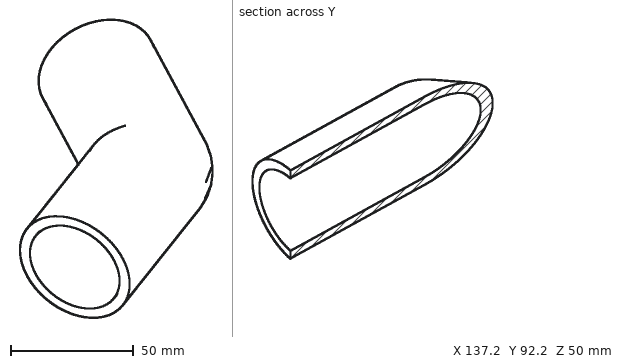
import cadquery as cq
import math

overall_length = 137.2
outer_diameter = 50.0
bore_diameter = 40.7
bend_angle = 45.0

bend = math.radians(bend_angle)
leg_length = (overall_length - outer_diameter / 2 * math.sin(bend)) / (1 + math.cos(bend))


def leg(diameter, direction):
    """Round bar from the bend center outward along the given direction."""
    plane = cq.Plane(origin=(0, 0, 0), xDir=(0, 0, 1), normal=direction)
    return cq.Workplane(plane).circle(diameter / 2).extrude(leg_length)


def elbow(diameter):
    """Two round legs joined by a ball of the same diameter at the bend."""
    straight_leg = leg(diameter, (-1, 0, 0))
    angled_leg = leg(diameter, (math.cos(bend), -math.sin(bend), 0))
    ball = cq.Workplane("XY").sphere(diameter / 2)
    return straight_leg.union(angled_leg).union(ball)


result = elbow(outer_diameter).cut(elbow(bore_diameter))